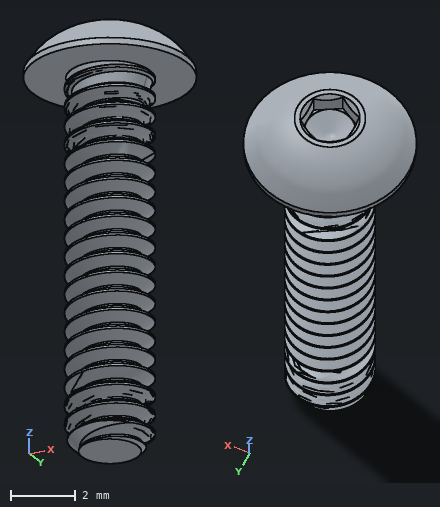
import cadquery as cq
import math

length = 14.2
head_diameter = 5.41
head_height = 1.5
rim_height = 0.21
head_top_radius = 1.11
dome_bulge = 0.2

socket_flats = 1.59
socket_mouth_radius = 0.94
socket_depth = 0.62
socket_floor_angle = 30.0

major_radius = 1.42
root_radius = 1.0
pitch = 0.635
crest_width = pitch / 8
flank_angle = 30.0
crest_start = 0.54
root_overlap = 0.03
tip_radius = 0.98

neck_radius = 1.38
neck_length = 1.14

head_radius = head_diameter / 2
shank_length = length - head_height


def make_head():
    """Domed button head with a flat top and a short cylindrical rim."""
    rim_top = shank_length + rim_height
    chord_run = head_radius - head_top_radius
    chord_rise = length - rim_top
    chord = math.hypot(chord_run, chord_rise)
    dome_middle = (
        (head_radius + head_top_radius) / 2 + dome_bulge * chord_rise / chord,
        (rim_top + length) / 2 + dome_bulge * chord_run / chord,
    )
    return (
        cq.Workplane("XZ")
        .moveTo(0, shank_length)
        .lineTo(head_radius, shank_length)
        .lineTo(head_radius, rim_top)
        .threePointArc(dome_middle, (head_top_radius, length))
        .lineTo(0, length)
        .close()
        .revolve(360, (0, 0, 0), (0, 1, 0))
    )


def make_core():
    """Root cylinder of the thread, widening into the neck under the head."""
    tip_chamfer = root_radius - tip_radius
    return (
        cq.Workplane("XZ")
        .lineTo(tip_radius, 0)
        .lineTo(root_radius, tip_chamfer)
        .lineTo(root_radius, shank_length - neck_length)
        .lineTo(neck_radius, shank_length)
        .lineTo(0, shank_length)
        .close()
        .revolve(360, (0, 0, 0), (0, 1, 0))
    )


def make_thread():
    """Right-handed ridge, trimmed by the head underside and the 45 degree tip chamfer."""
    start = crest_start - 2 * pitch
    turns = math.ceil((shank_length - start) / pitch) + 1
    inner_radius = root_radius - root_overlap
    half_crest = crest_width / 2
    half_base = half_crest + (major_radius - inner_radius) * math.tan(math.radians(flank_angle))
    helix = cq.Wire.makeHelix(pitch, turns * pitch, inner_radius, cq.Vector(0, 0, start))
    ridge = (
        cq.Workplane("XZ")
        .polyline([
            (inner_radius, start - half_base),
            (major_radius, start - half_crest),
            (major_radius, start + half_crest),
            (inner_radius, start + half_base),
        ])
        .close()
        .sweep(cq.Workplane(obj=helix), isFrenet=True)
    )
    envelope_radius = major_radius + 0.14
    envelope = (
        cq.Workplane("XZ")
        .lineTo(tip_radius, 0)
        .lineTo(envelope_radius, envelope_radius - tip_radius)
        .lineTo(envelope_radius, shank_length)
        .lineTo(0, shank_length)
        .close()
        .revolve(360, (0, 0, 0), (0, 1, 0))
    )
    return ridge.intersect(envelope)


def make_socket():
    """Hexagon with flats facing +X and -X, a countersunk mouth and a conical floor."""
    corner_diameter = socket_flats / math.cos(math.pi / 6)
    floor_height = length - socket_depth
    hexagon = (
        cq.Workplane("XY", origin=(0, 0, floor_height))
        .transformed(rotate=(0, 0, 30))
        .polygon(6, corner_diameter)
        .extrude(socket_depth)
    )
    floor_drop = socket_flats / 2 * math.tan(math.radians(socket_floor_angle))
    floor_cone = cq.Workplane(obj=cq.Solid.makeCone(
        0, socket_flats / 2, floor_drop, pnt=cq.Vector(0, 0, floor_height - floor_drop)
    ))
    mouth_depth = socket_mouth_radius - socket_flats / 2
    mouth = cq.Workplane(obj=cq.Solid.makeCone(
        socket_flats / 2, socket_mouth_radius, mouth_depth, pnt=cq.Vector(0, 0, length - mouth_depth)
    ))
    return hexagon.union(floor_cone).union(mouth)


head = make_head().cut(make_socket())
result = make_core().union(make_thread()).union(head)